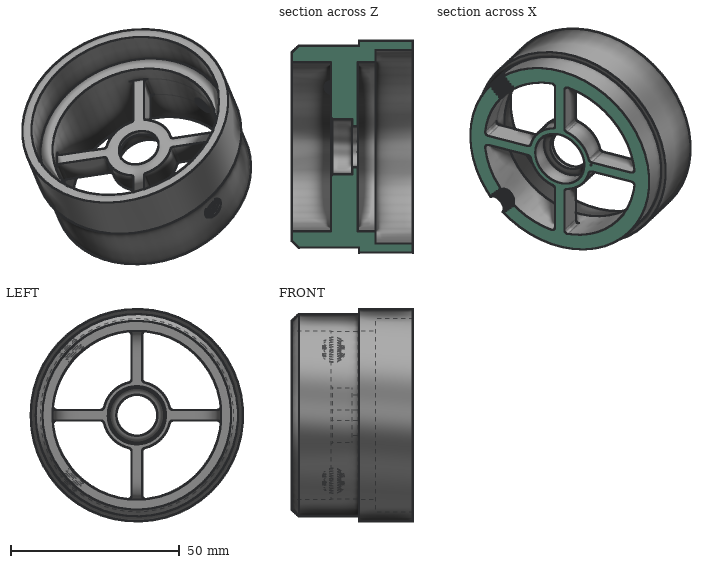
import cadquery as cq
import math

overall_length = 36.0
flange_radius = 31.5
body_radius = 30.0
body_length = 20.0
bore_radius = 25.0
rear_bore_radius = 28.65
rear_bore_start = 24.9
front_chamfer_length = 2.15
front_chamfer_depth = 2.0

web_thickness = 8.0
web_front = 11.65
hub_radius = 10.0
spoke_width = 3.2
spoke_count = 4
spoke_fillet = 1.0

shaft_hole_radius = 6.05
seat_radius = 8.1
seat_depth = 6.3
seat_chamfer = 0.5

screw_position = 12.4
screw_angles = (45, -45)
thread_major_radius = 3.2
thread_minor_radius = 2.6
thread_pitch = 1.0
cut_margin = thread_pitch


def disc(radius, start, length):
    """Solid cylinder along X."""
    return cq.Workplane("YZ", origin=(start, 0, 0)).circle(radius).extrude(length)


def ring():
    profile = [
        (0, bore_radius),
        (0, body_radius - front_chamfer_depth),
        (front_chamfer_length, body_radius),
        (body_length, body_radius),
        (body_length, flange_radius),
        (overall_length, flange_radius),
        (overall_length, rear_bore_radius),
        (rear_bore_start, rear_bore_radius),
        (rear_bore_start, bore_radius),
    ]
    return cq.Workplane("XY").polyline(profile).close().revolve(360, (0, 0, 0), (1, 0, 0))


def web():
    """Hub and spokes cut out of a disc, leaving filleted windows between them."""
    windows = disc(bore_radius, web_front, web_thickness).cut(
        disc(hub_radius, web_front, web_thickness)
    )
    for i in range(spoke_count // 2):
        spoke_pair = cq.Workplane("XY").box(
            web_thickness, spoke_width, 2 * flange_radius, centered=(False, True, True)
        )
        spoke_pair = spoke_pair.translate((web_front, 0, 0))
        windows = windows.cut(spoke_pair.rotate((0, 0, 0), (1, 0, 0), i * 360 / spoke_count))
    windows = windows.edges("|X").fillet(spoke_fillet)
    disc_radius = (bore_radius + body_radius) / 2
    return disc(disc_radius, web_front, web_thickness).cut(windows)


def bearing_seat():
    hole = disc(shaft_hole_radius, web_front, web_thickness)
    seat = disc(seat_radius, web_front, seat_depth)
    lead_in = cq.Workplane(
        cq.Solid.makeCone(
            seat_radius + seat_chamfer, seat_radius, seat_chamfer,
            cq.Vector(web_front, 0, 0), cq.Vector(1, 0, 0),
        )
    )
    return hole.union(seat).union(lead_in)


def threaded_hole():
    """Hole along +Y, its thread simplified to a stack of V-shaped ring grooves."""
    start = bore_radius - cut_margin
    groove_count = math.ceil((body_radius + cut_margin - start) / thread_pitch)
    outline = [(0, start), (thread_minor_radius, start)]
    for i in range(groove_count):
        groove_start = start + i * thread_pitch
        outline.append((thread_major_radius, groove_start + thread_pitch / 2))
        outline.append((thread_minor_radius, groove_start + thread_pitch))
    outline.append((0, start + groove_count * thread_pitch))
    hole = cq.Workplane("XY").polyline(outline).close().revolve(360, (0, 0, 0), (0, 1, 0))
    return hole.translate((screw_position, 0, 0))


result = ring().union(web()).cut(bearing_seat())
for angle in screw_angles:
    result = result.cut(threaded_hole().rotate((0, 0, 0), (1, 0, 0), angle))